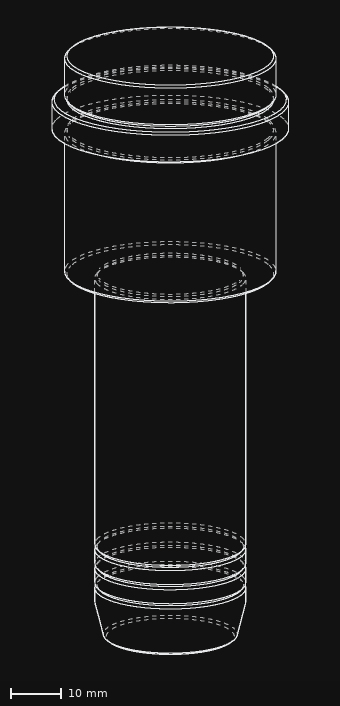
import cadquery as cq

total_height = 120.0
flange_top = 111.0
flange_bottom = 105.0
body_bottom = 75.0
nose_height = 7.2

flange_radius = 23.5
body_radius = 21.0
shank_radius = 15.0
tip_radius = 13.2

edge_break = 0.5
neck_depth = 0.5
neck_height = 0.5

groove_count = 3
groove_pitch = 4.0
lowest_groove_bottom = 10.1
groove_height = 1.1
groove_depth = 0.5

def cylinder(bottom, top, radius):
    """Solid cylinder on the Z axis between two heights."""
    return cq.Workplane("XY").workplane(offset=bottom).circle(radius).extrude(top - bottom)

def make_head():
    head = cylinder(flange_top + neck_height, total_height, body_radius).edges().chamfer(edge_break)
    neck = cylinder(flange_top, flange_top + neck_height, body_radius - neck_depth)
    return head.union(neck)

def make_flange():
    flange = cylinder(flange_bottom, flange_top, flange_radius)
    return flange.faces(">Z").edges().chamfer(edge_break)

def make_body():
    body_top = flange_bottom - neck_height
    body = cylinder(body_bottom, body_top, body_radius).edges().chamfer(edge_break)
    neck = cylinder(body_top, flange_bottom, body_radius - neck_depth)
    return body.union(neck)

def make_shank():
    shank_top = body_bottom - neck_height
    shank = (
        cq.Workplane("XZ")
        .lineTo(tip_radius, 0)
        .lineTo(shank_radius, nose_height)
        .lineTo(shank_radius, shank_top)
        .lineTo(0, shank_top)
        .close()
        .revolve(360, (0, 0, 0), (0, 1, 0))
    )
    shank = shank.faces("<Z or >Z").edges().chamfer(edge_break)
    neck = cylinder(shank_top, body_bottom, shank_radius - neck_depth)
    return shank.union(neck)

def groove_ring(bottom):
    """Ring of V-shaped section to cut from the shank."""
    return (
        cq.Workplane("XZ")
        .moveTo(shank_radius, bottom)
        .lineTo(shank_radius - groove_depth, bottom + groove_height / 2)
        .lineTo(shank_radius, bottom + groove_height)
        .close()
        .revolve(360, (0, 0, 0), (0, 1, 0))
    )

result = make_shank().union(make_body()).union(make_flange()).union(make_head())
for index in range(groove_count):
    result = result.cut(groove_ring(lowest_groove_bottom + index * groove_pitch))